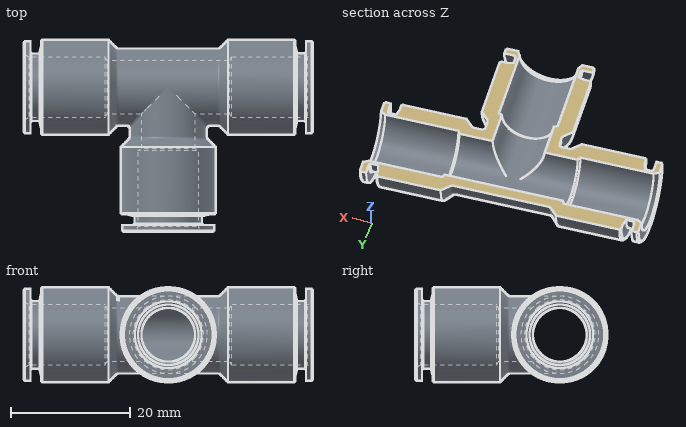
import cadquery as cq
import math

ARM_TURNS = (0, 180, -90)

NECK_RADIUS = 13.0 / 2
BODY_RADIUS = 16.0 / 2
SHOULDER_END = 10.05
SHOULDER_ANGLE = 45
BODY_END = 21.38
BODY_CHAMFER = 0.3
END_RIM_RADIUS = 6.75
END_FACE_RISE = 0.25
NECK_FILLET = 0.6
CORNER_FILLET = 0.5

ARM_LENGTH = 24.3
COLLAR_RADIUS = 11.4 / 2
FLANGE_RADIUS = 15.5 / 2
FLANGE_THICKNESS = 1.2
FLANGE_CHAMFER = 0.3
FLANGE_ROOT_CHAMFER = 0.2

CONE_SLOPE = math.tan(math.radians(30))
MOUTH_RADIUS = 11.2 / 2
TUBE_RADIUS = 10.15 / 2
PASSAGE_RADIUS = 9.0 / 2
MOUTH_DEPTH = (MOUTH_RADIUS - TUBE_RADIUS) / CONE_SLOPE
TUBE_DEPTH = 14.0
SEAT_LENGTH = (TUBE_RADIUS - PASSAGE_RADIUS) * CONE_SLOPE

SHOULDER_TILT = math.radians(SHOULDER_ANGLE)
SHOULDER_START = SHOULDER_END - (BODY_RADIUS - NECK_RADIUS) / math.tan(SHOULDER_TILT)
TANGENT_LENGTH = NECK_FILLET * math.tan(SHOULDER_TILT / 2)
NECK_END = SHOULDER_START - TANGENT_LENGTH
CONE_START = SHOULDER_START + TANGENT_LENGTH * math.cos(SHOULDER_TILT)
CONE_START_RADIUS = NECK_RADIUS + TANGENT_LENGTH * math.sin(SHOULDER_TILT)
FILLET_MIDDLE = NECK_END + NECK_FILLET * math.sin(SHOULDER_TILT / 2)
FILLET_MIDDLE_RADIUS = NECK_RADIUS + NECK_FILLET * (1 - math.cos(SHOULDER_TILT / 2))


def turn_about_x(profile):
    """Close a half profile drawn above the X axis and revolve it about X."""
    return profile.close().revolve(360, (0, 0, 0), (1, 0, 0))


def at_each_arm(solid):
    """Copies of a solid built along +X, one for every arm."""
    return [solid.rotate((0, 0, 0), (0, 0, 1), turn) for turn in ARM_TURNS]


def make_necks():
    """Run and branch cylinders, with a fillet in the corners where they meet."""
    run = cq.Workplane("YZ").circle(NECK_RADIUS).extrude(NECK_END, both=True)
    branch = cq.Workplane("XZ").circle(NECK_RADIUS).extrude(NECK_END)
    return run.union(branch).edges("%ELLIPSE").fillet(CORNER_FILLET)


def make_head():
    """Housing and release collar of one arm, from the end of its neck outward."""
    flange_back = ARM_LENGTH - FLANGE_THICKNESS
    profile = (
        cq.Workplane("XY")
        .moveTo(NECK_END, 0)
        .lineTo(NECK_END, NECK_RADIUS)
        .threePointArc((FILLET_MIDDLE, FILLET_MIDDLE_RADIUS), (CONE_START, CONE_START_RADIUS))
        .lineTo(SHOULDER_END, BODY_RADIUS)
        .lineTo(BODY_END - BODY_CHAMFER, BODY_RADIUS)
        .lineTo(BODY_END, BODY_RADIUS - BODY_CHAMFER)
        .lineTo(BODY_END, END_RIM_RADIUS)
        .lineTo(BODY_END + END_FACE_RISE, COLLAR_RADIUS)
        .lineTo(flange_back - FLANGE_ROOT_CHAMFER, COLLAR_RADIUS)
        .lineTo(flange_back, COLLAR_RADIUS + FLANGE_ROOT_CHAMFER)
        .lineTo(flange_back, FLANGE_RADIUS)
        .lineTo(ARM_LENGTH - FLANGE_CHAMFER, FLANGE_RADIUS)
        .lineTo(ARM_LENGTH, FLANGE_RADIUS - FLANGE_CHAMFER)
        .lineTo(ARM_LENGTH, 0)
    )
    return turn_about_x(profile)


def make_bore():
    """Passage of one arm, widening to the tube socket and the flared mouth."""
    seat_start = ARM_LENGTH - TUBE_DEPTH
    profile = (
        cq.Workplane("XY")
        .lineTo(0, PASSAGE_RADIUS)
        .lineTo(seat_start, PASSAGE_RADIUS)
        .lineTo(seat_start + SEAT_LENGTH, TUBE_RADIUS)
        .lineTo(ARM_LENGTH - MOUTH_DEPTH, TUBE_RADIUS)
        .lineTo(ARM_LENGTH, MOUTH_RADIUS)
        .lineTo(ARM_LENGTH, 0)
    )
    return turn_about_x(profile)


fitting = make_necks()
for head in at_each_arm(make_head()):
    fitting = fitting.union(head)
for bore in at_each_arm(make_bore()):
    fitting = fitting.cut(bore)
result = fitting